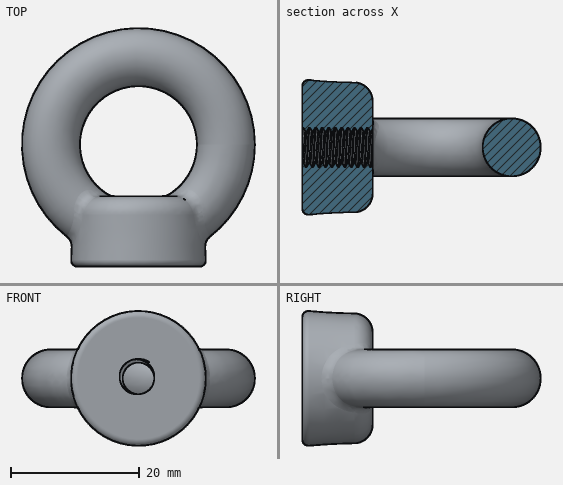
import cadquery as cq
import math


total_length = 37.15
ring_outer_radius = 18.148
tube_radius = 4.55
ring_mean_radius = ring_outer_radius - tube_radius
ring_center_y = total_length - ring_outer_radius

boss_radius = 10.5
boss_height = 11.0
draft_angle = 3.0
seat_edge_radius = 1.0
top_edge_radius = 3.0
joint_blend_radius = 2.0

thread_pitch = 1.0
thread_major_radius = 3.05
thread_minor_radius = 2.45
thread_depth = thread_major_radius - thread_minor_radius
groove_root_width = thread_pitch / 8
groove_mouth_width = thread_pitch * 3 / 4
groove_overlap = 0.07
thread_run_out = thread_pitch
groove_start_angle = -135.0


def make_ring():
    """Torus lying in the XY plane."""
    tube = cq.Workplane("XZ", origin=(ring_mean_radius, ring_center_y, 0)).circle(tube_radius)
    return tube.revolve(360, (-ring_mean_radius, 0, 0), (-ring_mean_radius, 1, 0))


def make_boss():
    """Drafted round boss that reaches its full radius on the rounded seating edge."""
    draft = math.radians(draft_angle)
    seat_radius = boss_radius - seat_edge_radius + seat_edge_radius * (1 + math.sin(draft)) / math.cos(draft)
    top_radius = seat_radius - boss_height * math.tan(draft)
    boss = (
        cq.Workplane("XY")
        .polyline([(0, 0), (seat_radius, 0), (top_radius, boss_height), (0, boss_height)])
        .close()
        .revolve(360, (0, 0, 0), (0, 1, 0))
    )
    boss = boss.faces("<Y").edges().fillet(seat_edge_radius)
    return boss.faces(">Y").edges().fillet(top_edge_radius)


def make_body():
    """Boss and ring joined, with a blend along the curves where they meet."""
    joined = make_boss().union(make_ring())
    return joined.edges("%BSPLINE").fillet(joint_blend_radius)


def make_bore():
    """Plain bore at the thread's minor diameter, through into the ring's eye."""
    return cq.Workplane("XZ").circle(thread_minor_radius).extrude(-boss_height)


def make_thread_groove():
    """Right-hand helical cutter of trapezoid section, bounded by ruled helical faces."""
    length = boss_height + 2 * thread_run_out
    twist = 360 * length / thread_pitch
    flank_slope = (groove_mouth_width - groove_root_width) / 2 / thread_depth
    inner_half_width = groove_mouth_width / 2 + groove_overlap * flank_slope
    inner_radius = thread_minor_radius - groove_overlap
    root_half_width = groove_root_width / 2

    corners = [
        (inner_radius, -inner_half_width),
        (thread_major_radius, -root_half_width),
        (thread_major_radius, root_half_width),
        (inner_radius, inner_half_width),
    ]
    helices = [
        cq.Wire.makeHelix(thread_pitch, length, radius).translate(cq.Vector(0, 0, along))
        for radius, along in corners
    ]
    sides = [cq.Face.makeRuledSurface(helices[i - 1], helices[i]) for i in range(len(helices))]

    start_section = cq.Wire.makePolygon([cq.Vector(radius, 0, along) for radius, along in corners], close=True)
    end_section = start_section.rotate(cq.Vector(0, 0, 0), cq.Vector(0, 0, 1), twist)
    end_section = end_section.translate(cq.Vector(0, 0, length))
    ends = [cq.Face.makeFromWires(section) for section in (start_section, end_section)]

    groove = cq.Solid.makeSolid(cq.Shell.makeShell(sides + ends)).fix()
    return (
        cq.Workplane(obj=groove)
        .translate((0, 0, -thread_run_out))
        .rotate((0, 0, 0), (0, 0, 1), groove_start_angle)
        .rotate((0, 0, 0), (1, 0, 0), -90)
    )


result = make_body().cut(make_bore()).cut(make_thread_groove())